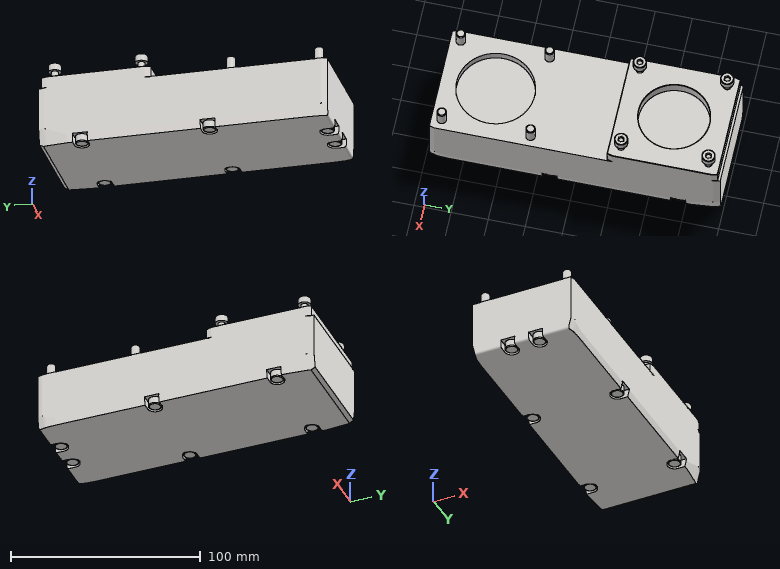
import cadquery as cq
import math

LENGTH = 157.0
WIDTH = 59.5
BASE_HEIGHT = 33.1
HALF_LENGTH = LENGTH / 2
HALF_WIDTH = WIDTH / 2

CORNER_INSET = 0.8
FRONT_CORNER_LENGTH = 3.0
REAR_CORNER_LENGTH = 3.5

SKIRT_INSET = 1.0
SKIRT_HEIGHT = 4.2
SKIRT_DRAFT = math.degrees(math.atan(SKIRT_INSET / SKIRT_HEIGHT))
SKIRT_BLEND = 7.8
SKIRT_OVERRUN = 12.5
FRONT_SKIRT_INSET = 1.3
FRONT_SKIRT_BEND = 4.2
FRONT_SKIRT_START = 10.2
REAR_SKIRT_INSET = 2.0
REAR_SKIRT_BEND = 3.8
REAR_SKIRT_START = 15.7

FRONT_EDGE_RADIUS = 1.4
REAR_EDGE_LENGTH = 2.4
REAR_EDGE_HEIGHT = 1.3

WINDOW_Y = -48.8
WINDOW_DIAMETER = 42.0
WINDOW_DEPTH = 5.0
PIN_SPACING = 47.9
PIN_DIAMETER = 5.0
PIN_TOP = 41.8
PIN_CHAMFER = 0.5
PIN_EMBED = 1.5

PLATE_LENGTH = 59.7
PLATE_SETBACK = 1.4
PLATE_THICKNESS = 6.5
PLATE_CORNER_LENGTH = 3.0
PLATE_EDGE_CHAMFER = 0.24
PLATE_Y = HALF_LENGTH - PLATE_SETBACK - PLATE_LENGTH / 2
PLATE_TOP = BASE_HEIGHT + PLATE_THICKNESS
PLATE_WINDOW_DIAMETER = 38.2
PLATE_WINDOW_Y = 47.4
SCREW_SPACING = 47.1
SCREW_TOP = 48.5
SHANK_DIAMETER = 4.0
HEAD_DIAMETER = 7.0
HEAD_HEIGHT = 4.1
HEAD_CHAMFER = 0.3
SOCKET_SIDES = 6
SOCKET_WIDTH = 3.0
SOCKET_DEPTH = 1.5
SOCKET_TIP_DEPTH = 0.8

NOTCH_WIDTH = 8.0
NOTCH_HEIGHT = 4.7
NOTCH_INSET = 5.0
NOTCH_HEAD_CHAMFER = 0.5
NOTCH_HEAD_HEIGHT = 4.2
FRONT_NOTCH_X = (-8.2, 8.2)
SIDE_NOTCH_Y = (-13.5, 55.9)


def chamfered_block(length, rear_corner, front_corner, height):
    """Full-width block centred on X and Y with shallow chamfers on its four vertical corners."""
    end_x = HALF_WIDTH - CORNER_INSET
    right = [
        (end_x, -length / 2),
        (HALF_WIDTH, front_corner - length / 2),
        (HALF_WIDTH, length / 2 - rear_corner),
        (end_x, length / 2),
    ]
    left = [(-x, y) for x, y in reversed(right)]
    return cq.Workplane("XY").polyline(right + left).close().extrude(height)


def skirt_envelope():
    """Solid that widens upward from the underside outline; its walls trim the skirt."""
    front_bend_x = HALF_WIDTH - FRONT_SKIRT_INSET
    rear_bend_x = HALF_WIDTH - REAR_SKIRT_INSET
    side_x = HALF_WIDTH - SKIRT_INSET
    front_slope = CORNER_INSET / FRONT_CORNER_LENGTH
    rear_slope = CORNER_INSET / REAR_CORNER_LENGTH
    front_run = FRONT_SKIRT_BEND + SKIRT_OVERRUN
    rear_run = REAR_SKIRT_BEND + SKIRT_OVERRUN
    right = [
        (front_bend_x - front_run * front_slope, -HALF_LENGTH - SKIRT_OVERRUN),
        (front_bend_x, FRONT_SKIRT_BEND - HALF_LENGTH),
        (side_x, FRONT_SKIRT_START - HALF_LENGTH),
        (side_x, HALF_LENGTH - REAR_SKIRT_START),
        (rear_bend_x, HALF_LENGTH - REAR_SKIRT_BEND),
        (rear_bend_x - rear_run * rear_slope, HALF_LENGTH + SKIRT_OVERRUN),
    ]
    left = [(-x, y) for x, y in reversed(right)]
    outline = cq.Sketch().polygon(right + left + right[:1]).vertices().fillet(SKIRT_BLEND)
    return cq.Workplane("XY").placeSketch(outline).extrude(BASE_HEIGHT, taper=-SKIRT_DRAFT)


def end_profile():
    """Side profile with the rounded front lower edge and the chamfered rear one."""
    return (
        cq.Workplane("YZ", origin=(-HALF_WIDTH, 0, 0))
        .moveTo(FRONT_EDGE_RADIUS - HALF_LENGTH, 0)
        .lineTo(HALF_LENGTH - REAR_EDGE_LENGTH, 0)
        .lineTo(HALF_LENGTH, REAR_EDGE_HEIGHT)
        .lineTo(HALF_LENGTH, BASE_HEIGHT)
        .lineTo(-HALF_LENGTH, BASE_HEIGHT)
        .lineTo(-HALF_LENGTH, FRONT_EDGE_RADIUS)
        .radiusArc((FRONT_EDGE_RADIUS - HALF_LENGTH, 0), -FRONT_EDGE_RADIUS)
        .close()
        .extrude(WIDTH)
    )


def cylinder(x, y, bottom, top, diameter):
    return cq.Workplane("XY", origin=(x, y, bottom)).circle(diameter / 2).extrude(top - bottom)


def square_corners(center_y, spacing):
    half = spacing / 2
    return [(x, center_y + dy) for x in (-half, half) for dy in (-half, half)]


def cap_screw(x, y):
    """Socket head cap screw raised above the plate on its shank."""
    head_bottom = SCREW_TOP - HEAD_HEIGHT
    head = cylinder(x, y, head_bottom, SCREW_TOP, HEAD_DIAMETER).faces(">Z").chamfer(HEAD_CHAMFER)
    socket_corners = SOCKET_WIDTH / math.cos(math.pi / SOCKET_SIDES)
    socket = (
        cq.Workplane("XY", origin=(x, y, SCREW_TOP - SOCKET_DEPTH))
        .polygon(SOCKET_SIDES, socket_corners)
        .extrude(SOCKET_DEPTH)
    )
    tip = cq.Solid.makeCone(
        SOCKET_WIDTH / 2,
        0,
        SOCKET_TIP_DEPTH,
        pnt=cq.Vector(x, y, SCREW_TOP - SOCKET_DEPTH),
        dir=cq.Vector(0, 0, -1),
    )
    shank = cylinder(x, y, BASE_HEIGHT, head_bottom, SHANK_DIAMETER)
    return head.cut(socket).cut(cq.Workplane(tip)).union(shank)


def pin(x, y):
    bottom = BASE_HEIGHT - PIN_EMBED
    return cylinder(x, y, bottom, PIN_TOP, PIN_DIAMETER).faces(">Z").chamfer(PIN_CHAMFER)


def notch_at(x, y, angle):
    """U-shaped notch minus its screw head; opens toward -Y before turning by angle about Z."""
    channel = cq.Workplane("XY").rect(NOTCH_WIDTH, 2 * NOTCH_INSET).extrude(NOTCH_HEIGHT)
    channel = channel.union(cylinder(0, NOTCH_INSET, 0, NOTCH_HEIGHT, NOTCH_WIDTH))
    head = cylinder(0, NOTCH_INSET, NOTCH_HEIGHT - NOTCH_HEAD_HEIGHT, NOTCH_HEIGHT, HEAD_DIAMETER)
    head = head.faces("<Z").chamfer(NOTCH_HEAD_CHAMFER)
    return channel.cut(head).rotate((0, 0, 0), (0, 0, 1), angle).translate((x, y, 0))


housing = chamfered_block(LENGTH, REAR_CORNER_LENGTH, FRONT_CORNER_LENGTH, BASE_HEIGHT)
housing = housing.intersect(skirt_envelope()).intersect(end_profile())
housing = housing.cut(
    cylinder(0, WINDOW_Y, BASE_HEIGHT - WINDOW_DEPTH, BASE_HEIGHT, WINDOW_DIAMETER)
)

for notch_x in FRONT_NOTCH_X:
    housing = housing.cut(notch_at(notch_x, -HALF_LENGTH, 0))
for notch_y in SIDE_NOTCH_Y:
    housing = housing.cut(notch_at(-HALF_WIDTH, notch_y, -90))
    housing = housing.cut(notch_at(HALF_WIDTH, notch_y, 90))

plate = chamfered_block(PLATE_LENGTH, PLATE_CORNER_LENGTH, PLATE_CORNER_LENGTH, PLATE_THICKNESS)
plate = plate.translate((0, PLATE_Y, BASE_HEIGHT))
plate = plate.cut(cylinder(0, PLATE_WINDOW_Y, BASE_HEIGHT, PLATE_TOP, PLATE_WINDOW_DIAMETER))
plate = plate.faces(">Z").chamfer(PLATE_EDGE_CHAMFER)

result = housing.union(plate)
for screw_x, screw_y in square_corners(PLATE_WINDOW_Y, SCREW_SPACING):
    result = result.union(cap_screw(screw_x, screw_y))
for pin_x, pin_y in square_corners(WINDOW_Y, PIN_SPACING):
    result = result.union(pin(pin_x, pin_y))